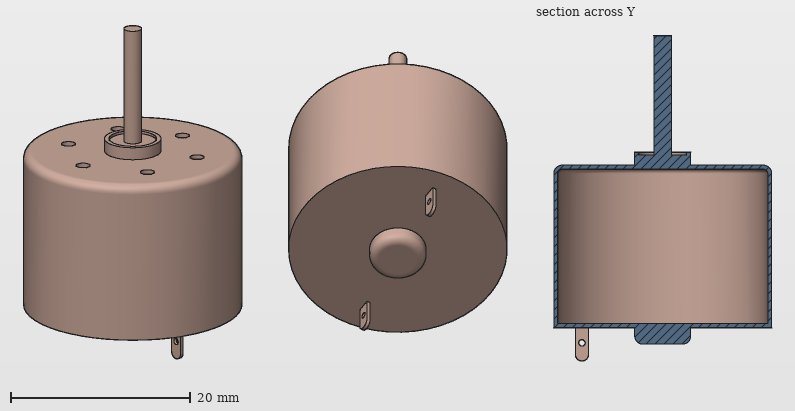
import cadquery as cq

total_height = 36.3
terminal_length = 3.7
can_height = 18.2
can_top = terminal_length + can_height

can_diameter = 24.4
edge_radius = 0.98
shell_thickness = 0.5
cavity_diameter = 23.4

boss_diameter = 6.3
front_boss_height = 1.4
rear_boss_height = 1.85
boss_recess_diameter = 5.3
boss_recess_depth = 0.3
boss_top = can_top + front_boss_height

shaft_diameter = 2.0

mounting_hole_count = 6
mounting_hole_diameter = 1.55
mounting_circle_radius = 7.5

terminal_offset_x = 9.0
terminal_offset_y = 1.52
terminal_width = 1.5
terminal_thickness = 0.4
terminal_hole_diameter = 0.7
terminal_hole_height = 2.05


def cylinder(diameter, bottom, top):
    """Upright cylinder on the motor axis between two heights."""
    return cq.Workplane("XY").workplane(offset=bottom).circle(diameter / 2).extrude(top - bottom)


def make_can():
    """Closed hollow can with a rounded front edge and a ring of mounting holes."""
    can = cylinder(can_diameter, terminal_length, can_top).faces(">Z").edges().fillet(edge_radius)
    cavity = cylinder(cavity_diameter, terminal_length + shell_thickness, can_top - shell_thickness)
    cavity = cavity.faces(">Z").edges().fillet(edge_radius - shell_thickness)
    holes = (
        cq.Workplane("XY")
        .workplane(offset=can_top)
        .polarArray(mounting_circle_radius, 90, 360, mounting_hole_count)
        .circle(mounting_hole_diameter / 2)
        .extrude(-shell_thickness)
    )
    return can.cut(cavity).cut(holes)


def make_front_boss():
    """Bearing boss with a shallow recess around the shaft."""
    boss = cylinder(boss_diameter, can_top, boss_top)
    return boss.cut(cylinder(boss_recess_diameter, boss_top - boss_recess_depth, boss_top))


def make_rear_boss():
    """Bearing boss with a rounded lower edge."""
    boss = cylinder(boss_diameter, terminal_length - rear_boss_height, terminal_length)
    return boss.faces("<Z").edges().fillet(edge_radius)


def make_terminal(x, y):
    """Thin upright tab with a round tip and a wire hole."""
    tip_radius = terminal_width / 2
    plane = cq.Workplane("XZ", origin=(x, y, 0))
    tab = (
        plane.moveTo(-tip_radius, terminal_length)
        .lineTo(-tip_radius, tip_radius)
        .threePointArc((0, 0), (tip_radius, tip_radius))
        .lineTo(tip_radius, terminal_length)
        .close()
        .extrude(terminal_thickness / 2, both=True)
    )
    hole = (
        plane.center(0, terminal_hole_height)
        .circle(terminal_hole_diameter / 2)
        .extrude(terminal_thickness, both=True)
    )
    return tab.cut(hole)


result = make_can().union(make_front_boss()).union(make_rear_boss())
result = result.union(cylinder(shaft_diameter, can_top, total_height))
for side in (-1, 1):
    result = result.union(make_terminal(side * terminal_offset_x, -side * terminal_offset_y))